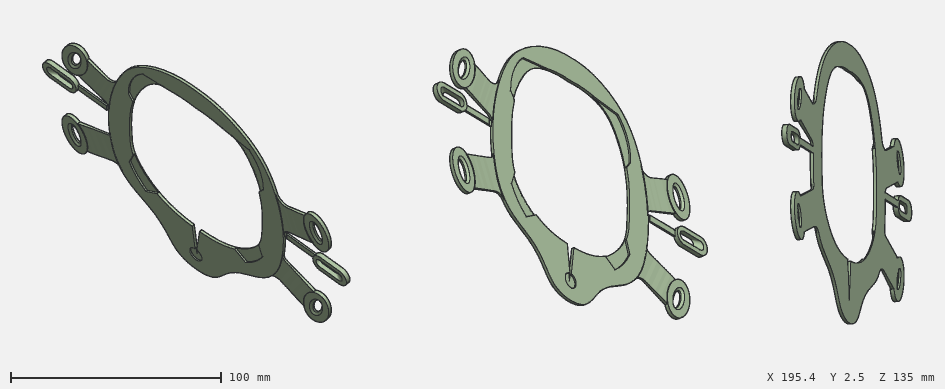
import cadquery as cq
import math

TAB_THICK = 2.5
EYELET_THICK = 2.0
RING_THICK = 1.5
BACK_Y = TAB_THICK / 2
EDGE_TOLERANCE = 0.02

RING_TOP = 67.48
OUTER_CURVE = [
    (0, RING_TOP), (22.7, 63.3), (41.5, 49.8), (49.8, 35.0), (55.0, 15.2), (56.3, 1.0), (55.0, -13.5),
    (50.0, -29.7), (42.4, -38.5), (30.3, -45.5), (20.3, -54.0), (11.7, -64.0), (0, -RING_TOP),
]
OPENING_BOTTOM = -37.1
OPENING_CURVE = [
    (0, 54.5), (15.6, 53.7), (26.2, 49.6), (35.5, 37.9), (40.2, 26.2), (42.5, 10.7), (42.5, 0),
    (40.6, -14.0), (34.4, -23.8), (22.7, -32.6), (11.0, -36.3), (0, OPENING_BOTTOM),
]

RECESS_DEPTH = 1.0

SLIT_HALF_WIDTH = 2.3
CHIN_RECESS_Z = -56.5
CHIN_RECESS_RADIUS = 4.0
CHIN_RECESS_DEPTH = 0.8

EYELET_X = 77.5
EYELET_UPPER_Z = 25.5
EYELET_LOWER_Z = -30.9
EYELET_LONG = 11.5
EYELET_SHORT = 7.6
EYELET_HOLE_LONG = 7.0
EYELET_HOLE_SHORT = 3.7
EYELET_HOLE_TAPER = 1.4

STRAP_ANGLE = 20
STRAP_WIDTH = 17.2
STRAP_LENGTH = 33.2
STRAP_THICK = 1.5
UPPER_RAMPS = [(9.5, 14.6), (15.8, 18.5), (19.7, 21.5)]
UPPER_RAMP_ANGLE = 20
UPPER_RAMP_SLOPE = 0.05
UPPER_ROOT_FILLETS = (5.9, 4.0)
LOWER_RAMPS = [(9.2, 11.5), (13.3, 16.2), (19.0, 21.3)]
LOWER_RAMP_ANGLE = 25
LOWER_RAMP_SLOPE = 0.07
LOWER_ROOT_FILLETS = (3.0, 5.9)

TAB_Z = 5.3
TAB_TIP_X = 97.7
TAB_LENGTH = 21.7
TAB_HEIGHT = 10.0
SLOT_INNER_X = 78.1
SLOT_OUTER_X = 95.0
SLOT_OUTER_BACK_X = 90.5
SLOT_HEIGHT = 4.9
STEM_HEIGHT = 3.3
STEM_THICK = 1.0
STEM_ROOT_X = 57.8
STEM_ROOT_THICK = 0.5
STEM_OVERLAP = 4.0


def front_plane(height=0.0):
    """Workplane at a height above the back plane; local axes are X and Z, extrusion goes forward."""
    return cq.Workplane("XZ", origin=(0, BACK_Y - height, 0))


def symmetric_prism(half_curve, thickness):
    """Prism over a closed smooth curve whose right half is given from top to bottom."""
    left_half = [(-x, z) for x, z in half_curve[-2:0:-1]]
    return front_plane().spline(half_curve + left_half, periodic=True).close().extrude(thickness)


def both_sides(body):
    return body.union(body.mirror("YZ"))


def corner_recesses():
    """Recess prisms at the upper and lower corners of the opening."""
    floor_height = RING_THICK - RECESS_DEPTH
    upper = (
        front_plane(floor_height).moveTo(16.6, 53.5).lineTo(34.2, 51.5)
        .threePointArc((40.2, 43.4), (43.4, 29.1))
        .lineTo(39.5, 23.5).lineTo(16.6, 39.0).close()
    )
    lower = (
        front_plane(floor_height).moveTo(39.5, -12.7).lineTo(42.8, -22.3)
        .threePointArc((38.5, -29.3), (32.0, -35.7))
        .lineTo(23.5, -30.5).lineTo(23.5, -15.6).close()
    )
    return both_sides(upper.extrude(RECESS_DEPTH).union(lower.extrude(RECESS_DEPTH)))


def chin_cuts():
    """V slit running down from the opening, and the shallow round recess at its tip."""
    slit = (
        front_plane()
        .polyline([
            (-SLIT_HALF_WIDTH, OPENING_BOTTOM + 2), (-SLIT_HALF_WIDTH, OPENING_BOTTOM),
            (0, CHIN_RECESS_Z),
            (SLIT_HALF_WIDTH, OPENING_BOTTOM), (SLIT_HALF_WIDTH, OPENING_BOTTOM + 2),
        ]).close().extrude(RING_THICK)
    )
    recess = (
        front_plane(RING_THICK - CHIN_RECESS_DEPTH).center(0, CHIN_RECESS_Z)
        .circle(CHIN_RECESS_RADIUS).extrude(CHIN_RECESS_DEPTH)
    )
    return slit.union(recess)


def strap_plan(eyelet_z, side, root_fillets, blank):
    """Right-hand strap at full ring thickness; side is +1 above, -1 below; fillets are (top, bottom)."""
    angle = math.radians(side * STRAP_ANGLE)
    middle_x = EYELET_X - math.cos(angle) * STRAP_LENGTH / 2
    middle_z = eyelet_z - math.sin(angle) * STRAP_LENGTH / 2
    bar = (
        front_plane().center(middle_x, middle_z).transformed(rotate=(0, 0, side * STRAP_ANGLE))
        .rect(STRAP_LENGTH, STRAP_WIDTH).extrude(RING_THICK)
    )
    joined = blank.union(bar)
    near_root = cq.selectors.BoxSelector(
        (EYELET_X - STRAP_LENGTH, -BACK_Y, middle_z - STRAP_WIDTH),
        (middle_x, BACK_Y, middle_z + STRAP_WIDTH),
    )
    corners = [
        edge.Center() for edge in joined.edges(near_root).vals()
        if edge.BoundingBox().zlen < EDGE_TOLERANCE
    ]
    corners.sort(key=lambda corner: corner.z, reverse=True)
    for corner, radius in zip(corners, root_fillets):
        nearest = cq.selectors.NearestToPointSelector(corner.toTuple())
        joined = joined.edges(nearest).fillet(radius)
    return joined.cut(blank)


def ramp_envelope(eyelet_z, side, ramps, ramp_angle, ramp_slope):
    """Wide block whose front face steps down from the eyelet toward the ring along the ramps."""
    thickness = STRAP_THICK
    front_face = [(0, thickness)]
    for start, end in ramps:
        front_face.append((start, thickness))
        thickness -= ramp_slope * (end - start)
        front_face.append((end, thickness))
    outline = [(0, 0)] + front_face + [(2 * STRAP_LENGTH, thickness), (2 * STRAP_LENGTH, 0)]
    angle = math.radians(side * ramp_angle)
    plane = cq.Plane(
        origin=(EYELET_X, BACK_Y, eyelet_z),
        xDir=(-math.cos(angle), 0, -math.sin(angle)),
        normal=(-math.sin(angle), 0, math.cos(angle)),
    )
    return cq.Workplane(plane).polyline(outline).close().extrude(2 * STRAP_WIDTH, both=True)


def eyelet_plane(eyelet_z, side, height=0.0):
    return (
        front_plane(height).center(EYELET_X, eyelet_z).transformed(rotate=(0, 0, side * STRAP_ANGLE))
    )


def eyelet(eyelet_z, side):
    return eyelet_plane(eyelet_z, side).ellipse(EYELET_SHORT, EYELET_LONG).extrude(EYELET_THICK)


def eyelet_hole(eyelet_z, side):
    """Oval through hole, countersunk from the front to half its depth."""
    throat_short = EYELET_HOLE_SHORT - EYELET_HOLE_TAPER
    throat_long = EYELET_HOLE_LONG - EYELET_HOLE_TAPER
    throat = eyelet_plane(eyelet_z, side).ellipse(throat_short, throat_long).extrude(EYELET_THICK)
    countersink = (
        eyelet_plane(eyelet_z, side, EYELET_THICK / 2).ellipse(throat_short, throat_long)
        .workplane(offset=EYELET_THICK / 2).ellipse(EYELET_HOLE_SHORT, EYELET_HOLE_LONG).loft()
    )
    return throat.union(countersink)


def side_tab():
    """Right-hand slotted tab with its stem; the outer end of the slot slopes inward to the back."""
    tab = (
        front_plane().center(TAB_TIP_X - TAB_LENGTH / 2, TAB_Z)
        .slot2D(TAB_LENGTH, TAB_HEIGHT).extrude(TAB_THICK)
    )
    back_length = SLOT_OUTER_BACK_X - SLOT_INNER_X
    front_length = SLOT_OUTER_X - SLOT_INNER_X
    slot = (
        front_plane().center(SLOT_INNER_X + back_length / 2, TAB_Z).slot2D(back_length, SLOT_HEIGHT)
        .workplane(offset=TAB_THICK).center((front_length - back_length) / 2, 0)
        .slot2D(front_length, SLOT_HEIGHT).loft(ruled=True)
    )
    return tab.union(stem()).cut(slot)


def stem():
    """Thin bar from the ring to the tab, thinner still where it meets the ring."""
    tab_inner_x = TAB_TIP_X - TAB_LENGTH
    ring_x = OUTER_CURVE[5][0]
    root_start = ring_x - STEM_OVERLAP
    root = (
        front_plane().center((root_start + STEM_ROOT_X) / 2, TAB_Z)
        .rect(STEM_ROOT_X - root_start, STEM_HEIGHT).extrude(STEM_ROOT_THICK)
    )
    bar_end = tab_inner_x + STEM_HEIGHT / 2
    bar = (
        front_plane().center((STEM_ROOT_X + bar_end) / 2, TAB_Z)
        .rect(bar_end - STEM_ROOT_X, STEM_HEIGHT).extrude(STEM_THICK)
    )
    return root.union(bar)


ring_blank = symmetric_prism(OUTER_CURVE, RING_THICK)
opening = symmetric_prism(OPENING_CURVE, RING_THICK)
ring = ring_blank.cut(opening).cut(corner_recesses()).cut(chin_cuts())

upper_strap = strap_plan(EYELET_UPPER_Z, 1, UPPER_ROOT_FILLETS, ring_blank).intersect(
    ramp_envelope(EYELET_UPPER_Z, 1, UPPER_RAMPS, UPPER_RAMP_ANGLE, UPPER_RAMP_SLOPE)
)
lower_strap = strap_plan(EYELET_LOWER_Z, -1, LOWER_ROOT_FILLETS, ring_blank).intersect(
    ramp_envelope(EYELET_LOWER_Z, -1, LOWER_RAMPS, LOWER_RAMP_ANGLE, LOWER_RAMP_SLOPE)
)
arms = side_tab().union(upper_strap).union(lower_strap)
for z, side in ((EYELET_UPPER_Z, 1), (EYELET_LOWER_Z, -1)):
    arms = arms.union(eyelet(z, side)).cut(eyelet_hole(z, side))

right_side = cq.Workplane().box(
    TAB_TIP_X, TAB_THICK, 2 * RING_TOP, centered=(False, True, True)
)
result = both_sides(ring.union(arms).intersect(right_side))